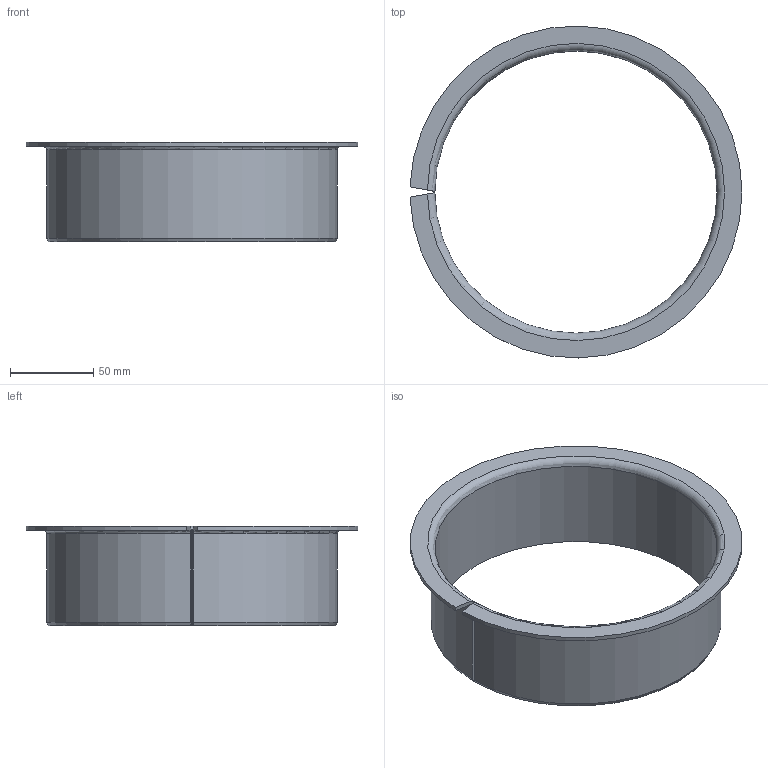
import cadquery as cq
import math

height = 60.0
flange_radius = 100.0
bore_radius = 85.0
thickness = 2.5
bend_inner_radius = 2.0
chamfer_height = 2.0
chamfer_angle = 25.0
groove_web = 0.5
groove_floor_width = 1.0
groove_side_angle = 10.0

sleeve_radius = bore_radius + thickness
bend_outer_radius = bend_inner_radius + thickness
bend_center_radius = bore_radius + bend_outer_radius
bend_center_height = height - bend_outer_radius
flange_underside = height - thickness
groove_floor_radius = bore_radius + groove_web
chamfer_width = chamfer_height * math.tan(math.radians(chamfer_angle))


def bend_point(radius):
    """Midpoint of a bend arc of the given radius, as (radial position, height)."""
    offset = radius * math.sqrt(0.5)
    return (bend_center_radius - offset, bend_center_height + offset)


def make_flanged_sleeve():
    """Revolve the sleeve wall, rounded bend and flange as one section about Z."""
    return (
        cq.Workplane("XZ")
        .moveTo(bore_radius, 0)
        .lineTo(sleeve_radius - chamfer_width, 0)
        .lineTo(sleeve_radius, chamfer_height)
        .lineTo(sleeve_radius, bend_center_height)
        .threePointArc(bend_point(bend_inner_radius), (bend_center_radius, flange_underside))
        .lineTo(flange_radius, flange_underside)
        .lineTo(flange_radius, height)
        .lineTo(bend_center_radius, height)
        .threePointArc(bend_point(bend_outer_radius), (bore_radius, bend_center_height))
        .close()
        .revolve(360, (0, 0, 0), (0, 1, 0))
    )


def make_groove():
    """Blind tapered groove along the full height of the -X side, leaving a thin web at the bore."""
    half_floor = groove_floor_width / 2
    groove_depth = flange_radius - groove_floor_radius
    half_mouth = half_floor + groove_depth * math.tan(math.radians(groove_side_angle))
    return (
        cq.Workplane("XY")
        .polyline(
            [
                (-groove_floor_radius, -half_floor),
                (-groove_floor_radius, half_floor),
                (-flange_radius, half_mouth),
                (-flange_radius, -half_mouth),
            ]
        )
        .close()
        .extrude(height)
    )


result = make_flanged_sleeve().cut(make_groove())